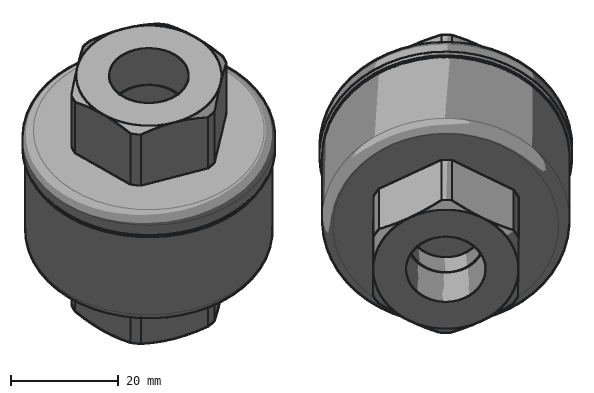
import cadquery as cq
import math

total_height = 55.5
hex_length = 14.0
body_bottom = hex_length
body_top = total_height - hex_length

body_diameter = 46.0
cap_diameter = 47.0
cap_height = 5.05
seam_chamfer = 0.5
edge_radius = 2.05
cap_bottom = body_top - cap_height

hex_flats = 27.0
hex_corner_diameter = 30.1
hex_chamfer_angle = math.radians(30)
hex_sides = 6

bore_mouth_diameter = 14.75
bore_taper = 1 / 16
bore_depth = 9.1
relief_diameter = 14.05
floor_depth = hex_length


def cylinder(diameter, bottom, height):
    return cq.Workplane("XY").workplane(offset=bottom).circle(diameter / 2).extrude(height)


def make_body():
    """Round body, with a 45-degree V-shaped seam just under the cap."""
    body = cylinder(body_diameter, body_bottom, cap_bottom - body_bottom)
    body = body.faces("<Z").edges().fillet(edge_radius)
    body = body.faces(">Z").edges().chamfer(seam_chamfer)

    cap = cylinder(cap_diameter, cap_bottom, cap_height)
    cap = cap.faces(">Z").edges().fillet(edge_radius)
    cap = cap.faces("<Z").edges().chamfer(seam_chamfer)
    return body.union(cap)


def make_hex_bar():
    """Hexagonal bar over the full height, turned at its corners and chamfered at both ends."""
    circumscribed_diameter = hex_flats / math.cos(math.pi / hex_sides)
    bar = cq.Workplane("XY").polygon(hex_sides, circumscribed_diameter).extrude(total_height)

    chamfer_width = (hex_corner_diameter - hex_flats) / 2
    chamfer_height = chamfer_width * math.tan(hex_chamfer_angle)
    corner_radius = hex_corner_diameter / 2
    face_radius = hex_flats / 2
    turned_envelope = (
        cq.Workplane("XZ")
        .moveTo(0, 0)
        .lineTo(face_radius, 0)
        .lineTo(corner_radius, chamfer_height)
        .lineTo(corner_radius, total_height - chamfer_height)
        .lineTo(face_radius, total_height)
        .lineTo(0, total_height)
        .close()
        .revolve(360, (0, 0, 0), (0, 1, 0))
    )
    return bar.intersect(turned_envelope)


def make_upper_bore():
    """Blind bore from the top face: a taper on diameter, then a slightly narrower relief."""
    mouth_radius = bore_mouth_diameter / 2
    taper_end_radius = (bore_mouth_diameter - bore_depth * bore_taper) / 2
    taper_end = total_height - bore_depth
    taper = (
        cq.Workplane("XZ")
        .moveTo(0, taper_end)
        .lineTo(taper_end_radius, taper_end)
        .lineTo(mouth_radius, total_height)
        .lineTo(0, total_height)
        .close()
        .revolve(360, (0, 0, 0), (0, 1, 0))
    )
    return taper.union(cylinder(relief_diameter, total_height - floor_depth, floor_depth))


upper_bore = make_upper_bore()
lower_bore = upper_bore.mirror("XY", (0, 0, total_height / 2))

result = make_body().union(make_hex_bar()).cut(upper_bore).cut(lower_bore)